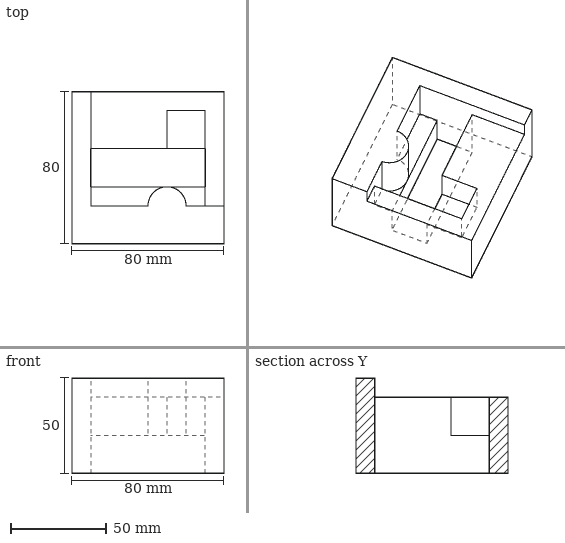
import cadquery as cq

length = 80.0
width = 80.0
height = 50.0

side_wall = 10.0
front_wall = 20.0
deck_level = 40.0
ledge_level = 20.0

slot_front = 30.0
slot_back = 50.0

pocket_size = 20.0
pocket_floor = 20.0

boss_radius = 10.0
boss_center_x = 50.0

inner_right = length - side_wall


def box_between(x_range, y_range, z_range):
    """Axis-aligned box given by its (low, high) limits along X, Y and Z."""
    limits = (x_range, y_range, z_range)
    sizes = [high - low for low, high in limits]
    corner = tuple(low for low, _ in limits)
    return cq.Workplane("XY").box(*sizes, centered=False).translate(corner)


def make_step():
    """Material above the lower deck, behind the front wall and right of the left wall."""
    return box_between((side_wall, length), (front_wall, width), (deck_level, height))


def make_ledge_cut():
    """Space above the ledge that runs along the front wall."""
    return box_between((side_wall, inner_right), (front_wall, slot_back), (ledge_level, height))


def make_slot():
    """Slot through the full height."""
    return box_between((side_wall, inner_right), (slot_front, slot_back), (0, height))


def make_pocket():
    """Square pocket in the deck, open to the slot."""
    return box_between(
        (inner_right - pocket_size, inner_right),
        (slot_back, slot_back + pocket_size),
        (pocket_floor, height),
    )


def make_boss():
    """Round boss standing on the ledge, half of it inside the front wall."""
    boss = cq.Workplane("XY").workplane(offset=ledge_level).center(boss_center_x, front_wall)
    return boss.circle(boss_radius).extrude(height - ledge_level)


block = box_between((0, length), (0, width), (0, height))
result = block.cut(make_step()).cut(make_ledge_cut()).cut(make_slot()).cut(make_pocket()).union(make_boss())